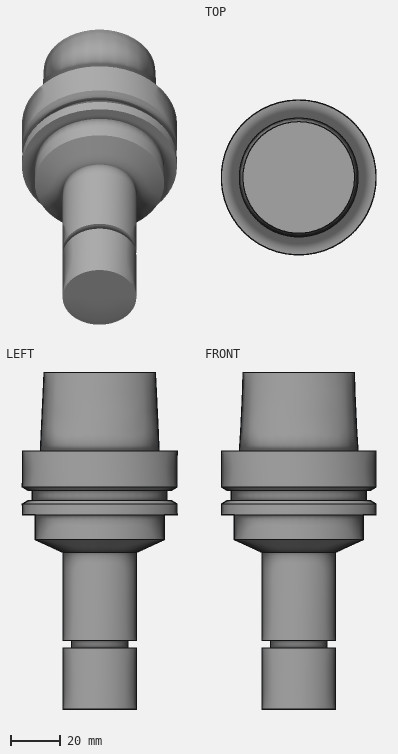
import cadquery as cq

nut_top = 25.1
neck_top = 28.0
shank_top = 63.8
shoulder_bottom = 69.0
shoulder_top = 79.0
groove_center = 87.0
groove_floor_width = 4.0
groove_mouth_width = 7.0
groove_bevel_depth = 2.5
flange_top = 105.1
total_height = 137.0

shank_diameter = 30.0
nut_diameter = shank_diameter
neck_diameter = 23.0
shoulder_diameter = 52.6
flange_diameter = 63.0
groove_diameter = 55.0
taper_base_diameter = 48.4
taper_top_diameter = 45.3


def cylinder(diameter, bottom, top):
    """Upright cylinder on the Z axis between two heights."""
    return cq.Workplane("XY").workplane(offset=bottom).circle(diameter / 2).extrude(top - bottom)


def cone(bottom_diameter, top_diameter, bottom, top):
    """Upright truncated cone on the Z axis between two heights."""
    profile = [
        (0, bottom),
        (bottom_diameter / 2, bottom),
        (top_diameter / 2, top),
        (0, top),
    ]
    return cq.Workplane("YZ").polyline(profile).close().revolve(360, (0, 0), (0, 1))


def flange():
    """Gripper flange with a groove whose edges are beveled at the rim."""
    rim = flange_diameter / 2
    floor = groove_diameter / 2
    bevel = rim - groove_bevel_depth
    groove_profile = [
        (rim, groove_center - groove_mouth_width / 2),
        (bevel, groove_center - groove_floor_width / 2),
        (floor, groove_center - groove_floor_width / 2),
        (floor, groove_center + groove_floor_width / 2),
        (bevel, groove_center + groove_floor_width / 2),
        (rim, groove_center + groove_mouth_width / 2),
    ]
    groove = cq.Workplane("YZ").polyline(groove_profile).close().revolve(360, (0, 0), (0, 1))
    return cylinder(flange_diameter, shoulder_top, flange_top).cut(groove)


def make_holder():
    """Tool holder: neck, shank, shoulder, grooved flange and clamping taper."""
    return (
        cylinder(neck_diameter, nut_top, neck_top)
        .union(cylinder(shank_diameter, neck_top, shank_top))
        .union(cone(shank_diameter, shoulder_diameter, shank_top, shoulder_bottom))
        .union(cylinder(shoulder_diameter, shoulder_bottom, shoulder_top))
        .union(flange())
        .union(cone(taper_base_diameter, taper_top_diameter, flange_top, total_height))
    )


def make_nut():
    """Plain round clamping nut below the neck."""
    return cylinder(nut_diameter, 0, nut_top)


holder = make_holder()
nut = make_nut()

result = cq.Compound.makeCompound([holder.val(), nut.val()])